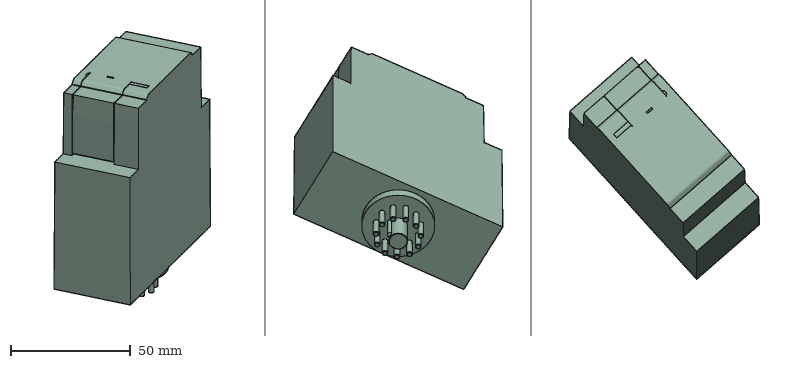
import cadquery as cq
import math


total_width = 35.2
total_length = 80.4
total_height = 106.2

plug_depth = 16.1
housing_top = total_height - plug_depth
band_height = 3.1
ledge_z = 59.6
shoulder_z = housing_top - 2.0
crown_step_height = 0.3
draft_break_z = housing_top - 6.6

band_half_length = total_length / 2
neck_half_length = 31.5
crown_foot_half_length = 23.0
crown_top_half_length = 21.3
crown_edge_radius = 1.6

wall_draft = math.tan(math.radians(0.25))
neck_draft = math.tan(math.radians(0.5))
rim_draft = math.tan(math.radians(1.5))

flap_left = -13.3
flap_right = 6.1
flap_break_z = housing_top - 11.5
flap_slot_width = 0.3
flap_slot_depth = 0.4
flap_undercut_height = 1.2
flap_undercut_depth = 1.6
flap_seam_width = 0.1
flap_seam_depth = 0.1
flap_seam_back = -13.4

mark_depth = 0.1
lamp_length_x = 3.0
lamp_length_y = 0.7
lamp_x = -3.8
lamp_y = -13.6
label_left = -14.0
label_right = 14.1
label_front = -16.0
label_back = -14.0

base_diameter = 30.5
base_height = 4.1
pin_count = 11
pin_diameter = 2.4
pin_circle_radius = 9.5
pin_length = 9.3
pin_chamfer = 0.3
spigot_diameter = 7.9
spigot_chamfer = 0.2
key_diameter = 2.4
key_reach = 5.0
key_length = 15.1
key_chamfer = 1.2

body_top_half_length = band_half_length - (ledge_z - band_height) * wall_draft
neck_break_half_length = neck_half_length - (draft_break_z - ledge_z) * neck_draft
neck_top_half_length = neck_break_half_length - (shoulder_z - draft_break_z) * rim_draft
flap_half_length = neck_top_half_length + (shoulder_z - flap_break_z) * rim_draft


def box_between(x_range, y_range, z_range):
    """Box spanning the given (low, high) ranges."""
    size = [high - low for low, high in (x_range, y_range, z_range)]
    corner = cq.Vector(x_range[0], y_range[0], z_range[0])
    return cq.Workplane("XY").box(*size, centered=False).translate(corner)


def make_housing():
    """Stepped side outline across the width, narrowed by the draft of the two wide sides."""
    back_edge = [
        (band_half_length, 0),
        (band_half_length, band_height),
        (body_top_half_length, ledge_z),
        (neck_half_length, ledge_z),
        (neck_break_half_length, draft_break_z),
        (neck_top_half_length, shoulder_z),
        (crown_foot_half_length, shoulder_z),
        (crown_foot_half_length, shoulder_z + crown_step_height),
        (crown_top_half_length, housing_top),
    ]
    front_edge = [(-y, z) for y, z in reversed(back_edge)]
    stepped = (
        cq.Workplane("YZ").polyline(back_edge + front_edge).close()
        .extrude(total_width / 2, both=True)
    )
    stepped = stepped.faces(">Z").edges("|X").fillet(crown_edge_radius)

    half_width = total_width / 2
    top_half_width = half_width - (housing_top - band_height) * wall_draft
    right_edge = [(half_width, 0), (half_width, band_height), (top_half_width, housing_top)]
    left_edge = [(-x, z) for x, z in reversed(right_edge)]
    drafted = (
        cq.Workplane("XZ").polyline(right_edge + left_edge).close()
        .extrude(total_length, both=True)
    )
    return stepped.intersect(drafted)


def make_flap_opening():
    """Space in the front wall that the flap and its side slots take up."""
    opening_back = -(neck_top_half_length - flap_slot_depth)
    return box_between(
        (flap_left, flap_right), (-band_half_length, opening_back), (ledge_z, shoulder_z)
    )


def make_flap():
    """Flap with an upright lower face and a leaning upper face, standing between the slots."""
    embedded_half_length = neck_top_half_length - 2 * flap_slot_depth
    outline = [
        (-embedded_half_length, ledge_z),
        (-flap_half_length, ledge_z),
        (-flap_half_length, flap_break_z),
        (-neck_top_half_length, shoulder_z),
        (-embedded_half_length, shoulder_z),
    ]
    flap_width = flap_right - flap_left - 2 * flap_slot_width
    return (
        cq.Workplane("YZ").polyline(outline).close().extrude(flap_width)
        .translate((flap_left + flap_slot_width, 0, 0))
    )


def make_flap_undercut():
    """Wedge under the flap that slopes down and back to the ledge."""
    outline = [
        (-band_half_length, ledge_z),
        (-flap_half_length + flap_undercut_depth, ledge_z),
        (-flap_half_length, ledge_z + flap_undercut_height),
        (-band_half_length, ledge_z + flap_undercut_height),
    ]
    return (
        cq.Workplane("YZ").polyline(outline).close().extrude(flap_right - flap_left)
        .translate((flap_left, 0, 0))
    )


def cut_flap_seams(body):
    """Hairline grooves that carry the sides of the flap over the shoulder and the crown."""
    skin = body.cut(body.translate((0, 0, -flap_seam_depth)))
    for x in (flap_left, flap_right - flap_seam_width):
        plate = box_between(
            (x, x + flap_seam_width),
            (-neck_half_length, flap_seam_back),
            (shoulder_z - flap_seam_depth, housing_top),
        )
        body = body.cut(plate.intersect(skin))
    return body


def make_top_marks():
    """Lamp window and the two ends of the label that show beside the flap."""
    depth_range = (housing_top - mark_depth, housing_top)
    label_range = (label_front, label_back)
    lamp = box_between(
        (lamp_x - lamp_length_x / 2, lamp_x + lamp_length_x / 2),
        (lamp_y - lamp_length_y / 2, lamp_y + lamp_length_y / 2),
        depth_range,
    )
    label_left_end = box_between((label_left, flap_left), label_range, depth_range)
    label_right_end = box_between((flap_right, label_right), label_range, depth_range)
    return lamp.union(label_left_end).union(label_right_end)


def peg(diameter, length, chamfer, x=0.0, y=0.0):
    """Round peg hanging down from the housing underside, chamfered at its tip."""
    return (
        cq.Workplane("XY").circle(diameter / 2).extrude(-length)
        .faces("<Z").chamfer(chamfer)
        .translate((x, y, 0))
    )


def make_plug():
    """Round base, ring of pins, and a central spigot with a rounded key on its front."""
    plug = cq.Workplane("XY").circle(base_diameter / 2).extrude(-base_height)
    for index in range(pin_count):
        angle = math.radians(90 + index * 360 / pin_count)
        x = pin_circle_radius * math.cos(angle)
        y = pin_circle_radius * math.sin(angle)
        plug = plug.union(peg(pin_diameter, base_height + pin_length, pin_chamfer, x, y))
    spigot = peg(spigot_diameter, plug_depth, spigot_chamfer)
    key = peg(key_diameter, key_length, key_chamfer, y=key_diameter / 2 - key_reach)
    return plug.union(spigot).union(key)


housing = cut_flap_seams(make_housing())
housing = housing.cut(make_flap_opening()).union(make_flap())
housing = housing.cut(make_flap_undercut()).cut(make_top_marks())
result = housing.union(make_plug())